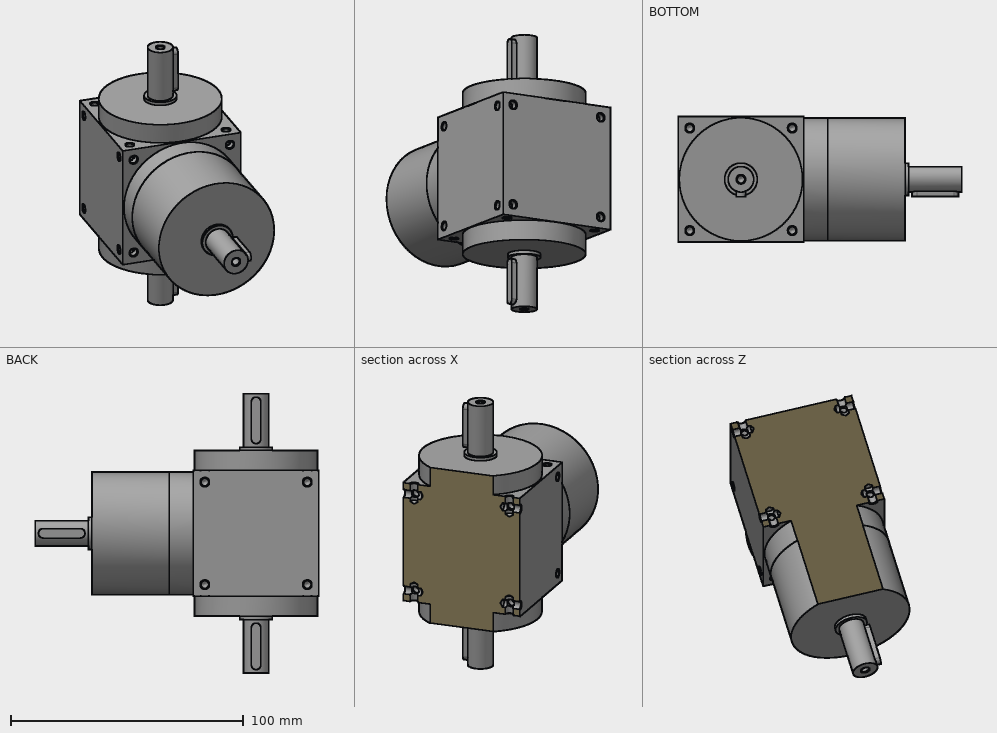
import cadquery as cq
import math

OVERALL_LENGTH = 122.0
OVERALL_HEIGHT = 120.0
CASE_SIZE = 54.0

COVER_DIAMETER = 53.0

ADAPTER_DIAMETER = 53.0
ADAPTER_LENGTH = 10.2
BARREL_DIAMETER = 52.8

COLLAR_DIAMETER = 14.0
COLLAR_LENGTH = 1.5
SHAFT_DIAMETER = 11.0
SHAFT_LENGTH = 22.9

HOLE_DIAMETER = 3.3
HOLE_DEPTH = 8.0
HOLE_CHAMFER = 0.4
DRILL_POINT_ANGLE = 118.0
HOLE_SPACING = 44.0

KEY_LENGTH = 20.0
KEY_WIDTH = 4.0
KEY_HEIGHT = 4.0
KEY_TOP = 7.5

SHAFT_END_LENGTH = COLLAR_LENGTH + SHAFT_LENGTH
CASE_FACE = CASE_SIZE / 2
COVER_FACE = OVERALL_HEIGHT / 2 - SHAFT_END_LENGTH
ADAPTER_FACE = CASE_FACE + ADAPTER_LENGTH
BARREL_FACE = OVERALL_LENGTH - CASE_FACE - SHAFT_END_LENGTH

COVER_THICKNESS = COVER_FACE - CASE_FACE
BARREL_LENGTH = BARREL_FACE - ADAPTER_FACE

UP, DOWN = (0, 0, 1), (0, 0, -1)
RIGHT, LEFT = (1, 0, 0), (-1, 0, 0)
BACK, FRONT = (0, 1, 0), (0, -1, 0)

SHAFT_ENDS = [(UP, COVER_FACE), (DOWN, COVER_FACE), (RIGHT, BARREL_FACE)]


def face_plane(direction, distance):
    """Plane facing outward along a direction, at a distance from the origin."""
    local_x = RIGHT if direction in (FRONT, BACK) else BACK
    origin = tuple(distance * component for component in direction)
    return cq.Plane(origin=origin, xDir=local_x, normal=direction)


def disc(direction, start, diameter, length):
    """Cylinder running outward along a direction."""
    return cq.Workplane(face_plane(direction, start)).circle(diameter / 2).extrude(length)


def shaft_end(direction, start):
    """Collar and plain shaft standing on a cover or on the barrel."""
    collar = disc(direction, start, COLLAR_DIAMETER, COLLAR_LENGTH)
    shaft = disc(direction, start + COLLAR_LENGTH, SHAFT_DIAMETER, SHAFT_LENGTH)
    return collar.union(shaft)


def drilled_hole():
    """Cutter for one hole, entering at the origin and going down Z."""
    radius = HOLE_DIAMETER / 2
    point_length = radius / math.tan(math.radians(DRILL_POINT_ANGLE / 2))
    profile = (
        cq.Workplane("XZ")
        .lineTo(radius + HOLE_CHAMFER, 0)
        .lineTo(radius, -HOLE_CHAMFER)
        .lineTo(radius, -HOLE_DEPTH)
        .lineTo(0, -HOLE_DEPTH - point_length)
        .close()
    )
    return profile.revolve(360, (0, 0), (0, 1)).val()


def case_holes(direction):
    """Four corner holes in one face of the case."""
    face = cq.Workplane(face_plane(direction, CASE_FACE))
    corners = face.rect(HOLE_SPACING, HOLE_SPACING, forConstruction=True).vertices()
    return corners.eachpoint(drilled_hole(), combine=False, useLocalCoordinates=True)


def centre_hole(direction, start):
    """Hole in the free end of a shaft."""
    plane = face_plane(direction, start + SHAFT_END_LENGTH)
    return cq.Workplane(plane).eachpoint(drilled_hole(), combine=False, useLocalCoordinates=True)


def make_key(direction, start):
    """Key lying halfway along a shaft, on its +Y side."""
    middle = start + COLLAR_LENGTH + SHAFT_LENGTH / 2
    plane = cq.Plane(
        origin=(middle * direction[0], KEY_TOP - KEY_HEIGHT, middle * direction[2]),
        xDir=direction,
        normal=BACK,
    )
    return cq.Workplane(plane).slot2D(KEY_LENGTH, KEY_WIDTH).extrude(KEY_HEIGHT)


def make_gearbox(keys):
    """Case with covers, adapter, barrel and shaft ends, with seats for the keys."""
    body = cq.Workplane().box(CASE_SIZE, CASE_SIZE, CASE_SIZE)
    for direction in (UP, DOWN):
        body = body.union(disc(direction, CASE_FACE, COVER_DIAMETER, COVER_THICKNESS))
    body = body.union(disc(RIGHT, CASE_FACE, ADAPTER_DIAMETER, ADAPTER_LENGTH))
    body = body.union(disc(RIGHT, ADAPTER_FACE, BARREL_DIAMETER, BARREL_LENGTH))
    for direction, start in SHAFT_ENDS:
        body = body.union(shaft_end(direction, start))
        body = body.cut(centre_hole(direction, start))
    for direction in (UP, DOWN, RIGHT, LEFT, FRONT, BACK):
        for hole in case_holes(direction).vals():
            body = body.cut(cq.Workplane(hole))
    for key in keys:
        body = body.cut(key)
    return body


keys = [make_key(direction, start) for direction, start in SHAFT_ENDS]
gearbox = make_gearbox(keys)

result = cq.Compound.makeCompound([gearbox.val(), *[key.val() for key in keys]])